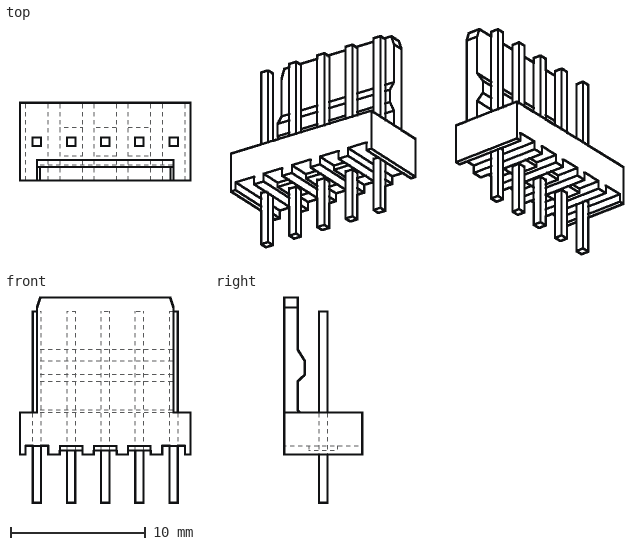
import cadquery as cq

pin_count = 5
total_height = 15.26
base_width = 12.7
base_depth = 5.8
base_height = 3.15
pitch = base_width / pin_count

pin_size = 0.64
pin_tail = 3.59
pin_length = 14.22
pin_y = base_depth / 2

channel_width = 1.68
channel_height = 0.64
bridge_drop = 0.35
bridge_start = 1.83

wall_width = (pin_count - 1) * pitch
wall_thickness = 1.0
wall_corner_run = 0.25
wall_corner_drop = 0.75
root_chamfer = 0.15

ridge_projection = 0.53
ridge_bottom = 2.29
ridge_crest_bottom = 2.8
ridge_crest_top = 3.82
ridge_top = 4.65

base_top = pin_tail + base_height
wall_height = total_height - base_top
pin_positions = [(i - (pin_count - 1) / 2) * pitch for i in range(pin_count)]


def box_from(width, depth, height, x, y, z):
    """Box centred on x, starting at y and z."""
    return cq.Workplane("XY").box(width, depth, height, centered=(True, False, False)).translate((x, y, z))


def make_pin(x):
    return box_from(pin_size, pin_size, pin_length, x, pin_y - pin_size / 2, 0)


def make_wall():
    """Locking wall with its latch ridge, chamfered root and cut top corners."""
    inner = wall_thickness
    crest = wall_thickness + ridge_projection
    profile = [
        (0, 0),
        (inner + root_chamfer, 0),
        (inner, root_chamfer),
        (inner, ridge_bottom),
        (crest, ridge_crest_bottom),
        (crest, ridge_crest_top),
        (inner, ridge_top),
        (inner, wall_height),
        (0, wall_height),
    ]
    wall = cq.Workplane("YZ").polyline(profile).close().extrude(wall_width / 2, both=True)

    half = wall_width / 2
    shoulder = wall_height - wall_corner_drop
    outline = [
        (-half, 0),
        (half, 0),
        (half, shoulder),
        (half - wall_corner_run, wall_height),
        (wall_corner_run - half, wall_height),
        (-half, shoulder),
    ]
    envelope = cq.Workplane("XZ").polyline(outline).close().extrude(-base_depth)
    return wall.intersect(envelope).translate((0, 0, base_top))


def make_channel(x):
    return box_from(channel_width, base_depth, channel_height, x, 0, pin_tail)


def make_bridge(x):
    """Bar across an inner channel, surrounding the pin."""
    depth = base_depth - 2 * bridge_start
    return box_from(channel_width, depth, bridge_drop, x, bridge_start, pin_tail + channel_height - bridge_drop)


def make_housing():
    housing = box_from(base_width, base_depth, base_height, 0, 0, pin_tail).union(make_wall())
    for x in pin_positions:
        housing = housing.cut(make_channel(x))
    for x in pin_positions[1:-1]:
        housing = housing.union(make_bridge(x))
    for x in pin_positions:
        housing = housing.cut(make_pin(x))
    return housing


housing = make_housing()
pins = [make_pin(x).val() for x in pin_positions]

result = cq.Compound.makeCompound([housing.val(), *pins])